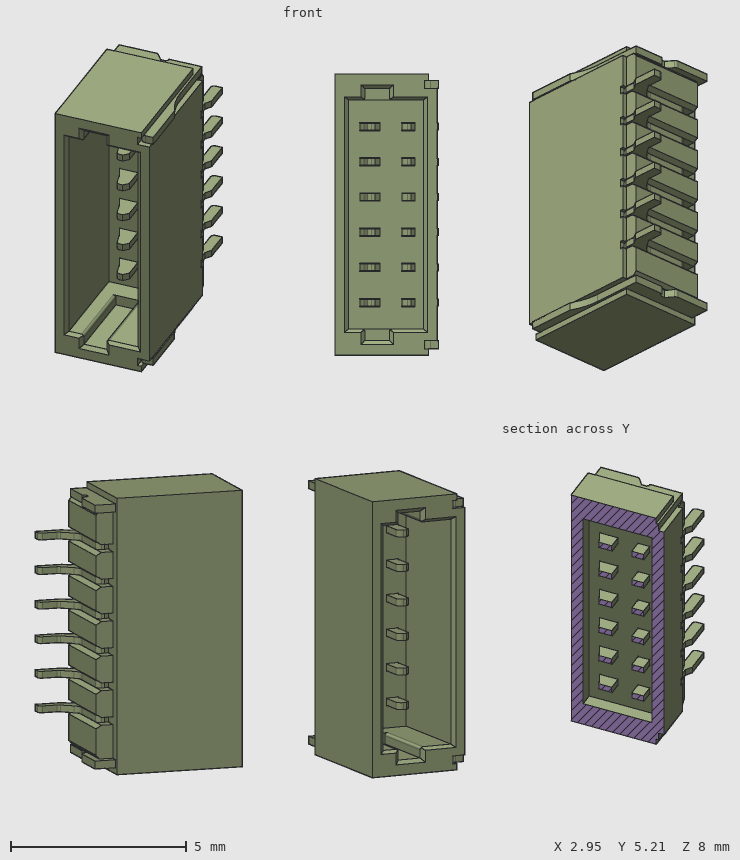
import cadquery as cq


height = 8.0
body_width = 2.66
body_depth = 3.76
flank_width = 2.91
flank_depth = 3.86
rear_left = 0.37
rear_right = 2.78
rear_end = 4.26

lead_in = 0.11
lead_in_ends = 0.09
lead_in_depth = 0.1
pocket_left = 0.38
pocket_right = 2.52
pocket_height = 6.51
pocket_depth = 3.0
key_left = 0.86
key_right = 1.55
key_height = 7.15
key_depth = 2.4
key_edge_radius = 0.08

plate_thickness = 0.23
plate_bottom = 3.58
plate_mid = plate_bottom + plate_thickness / 2
plate_front = 0.18
plate_inner = 2.54
plate_outer = 2.95
plate_corner_radius = 0.17
plate_neck = 2.74
neck_start = 2.63
neck_end = 1.73
neck_run = neck_start - neck_end
neck_drop = plate_outer - plate_neck
neck_radius = (neck_run**2 + neck_drop**2) / (2 * neck_drop)
plate_left = 0.11
plate_rear = 4.38
plate_low_rear = 4.22
notch_bottom = 4.11
notch_lip = 0.06
notch_left = 1.51
notch_right = 1.66
notch_ramp_end = 1.72
plate_rise_end = 1.31
plate_rise_radius = 0.12

contact_count = 6
pitch = 1.0
contact_thickness = 0.2
slot_height = 0.22
groove_bevel_height = 0.1
groove_bevel_depth = 0.16
end_bevel_height = 0.11
end_bevel_depth = 0.1
tip_y = 2.24
left_prong = (0.71, 1.28)
right_prong = (1.9, 2.27)
left_taper_root = 0.12
left_taper_y = 2.72
left_taper_tip = 0.24
left_tip_bevel = 0.14
left_nose_radius = 0.12
right_nose_radius = 0.17
right_tip_bevel = 0.11
bar_rear = 4.11
bar_corner_radius = 0.14
tail_end = 5.21
tail_left = 2.63
tail_tip_radius = 0.11
crank_y = 4.62
crank_radius = 0.16
bar_crank_x = 2.24
bar_crank_radius = 0.37
bar_end_taper = 0.05
bar_taper_y = 3.89
tail_bend_y = 4.42
heel_right = 2.82
heel_rear = 4.23
heel_front = 3.9
heel_bevel = 0.04
contact_heights = [pitch * (i - (contact_count - 1) / 2) for i in range(contact_count)]


def block(x0, x1, y0, y1, z_size, z_mid=0.0):
    """Box from its X and Y limits, centred in height on z_mid."""
    return (
        cq.Workplane("XY")
        .box(x1 - x0, y1 - y0, z_size, centered=(False, False, True))
        .translate((x0, y0, z_mid))
    )


def slab(outline, thickness, z_mid=0.0):
    """Extrude a closed XY outline, centred in height on z_mid."""
    return outline.extrude(thickness / 2, both=True).translate((0, 0, z_mid))


def lead_in_frustum(x0, x1, z_size, end_margin):
    """Tapered mouth that narrows from the mating face to the given opening."""
    x_mid = (x0 + x1) / 2
    return (
        cq.Workplane("XZ", origin=(x_mid, 0, 0))
        .rect(x1 - x0 + 2 * lead_in, z_size + 2 * end_margin)
        .workplane(offset=-lead_in_depth)
        .rect(x1 - x0, z_size)
        .loft(ruled=True)
    )


def make_shell():
    body = block(0, body_width, 0, body_depth, height)
    flank = block(rear_left, flank_width, 0, flank_depth, 2 * plate_bottom)
    half = plate_bottom
    rear = (
        cq.Workplane("YZ", origin=(rear_left, 0, 0))
        .moveTo(body_depth, -half)
        .lineTo(rear_end - end_bevel_depth, -half)
        .lineTo(rear_end, -half + end_bevel_height)
        .lineTo(rear_end, half - end_bevel_height)
        .lineTo(rear_end - end_bevel_depth, half)
        .lineTo(body_depth, half)
        .close()
        .extrude(rear_right - rear_left)
    )
    return body.union(flank).union(rear)


def make_pocket():
    """Pocket with key grooves; the ledge edges beside the grooves are rounded."""
    main = block(pocket_left, pocket_right, 0, pocket_depth, pocket_height)
    key = block(key_left, key_right, 0, key_depth, key_height)
    pocket = main.union(key)
    for z in (-pocket_height / 2, pocket_height / 2):
        for x in (key_left, key_right):
            ledge_edge = cq.selectors.NearestToPointSelector((x, key_depth / 2, z))
            pocket = pocket.edges("|Y").edges(ledge_edge).fillet(key_edge_radius)
    pocket = pocket.union(lead_in_frustum(pocket_left, pocket_right, pocket_height, lead_in_ends))
    return pocket.union(lead_in_frustum(key_left, key_right, key_height, lead_in))


def make_rear_groove():
    """Contact channel across the rear block, flared at its open side."""
    half = slot_height / 2
    flare = half + groove_bevel_height
    return (
        cq.Workplane("YZ", origin=(rear_left, 0, 0))
        .moveTo(body_depth, -half)
        .lineTo(rear_end - groove_bevel_depth, -half)
        .lineTo(rear_end, -flare)
        .lineTo(rear_end, flare)
        .lineTo(rear_end - groove_bevel_depth, half)
        .lineTo(body_depth, half)
        .close()
        .extrude(plate_outer - rear_left)
    )


def make_plate(z_mid):
    """L-shaped anchor: a foot along the right side and an arm across the rear."""
    outline = (
        cq.Workplane("XY")
        .moveTo(plate_inner + plate_corner_radius, plate_front)
        .lineTo(plate_outer, plate_front)
        .lineTo(plate_outer, neck_end)
        .radiusArc((plate_neck, neck_start), neck_radius)
        .lineTo(plate_neck, plate_low_rear)
        .lineTo(notch_ramp_end, plate_low_rear)
        .lineTo(notch_ramp_end, plate_low_rear - notch_lip)
        .lineTo(notch_right, notch_bottom)
        .lineTo(notch_left, notch_bottom)
        .lineTo(plate_rise_end, plate_rear)
        .lineTo(plate_left, plate_rear)
        .lineTo(plate_left, body_depth)
        .lineTo(plate_inner, body_depth)
        .lineTo(plate_inner, plate_front + plate_corner_radius)
        .radiusArc((plate_inner + plate_corner_radius, plate_front), -plate_corner_radius)
        .close()
    )
    plate = slab(outline, plate_thickness, z_mid)
    rise = cq.selectors.NearestToPointSelector((plate_rise_end, plate_rear, z_mid))
    return plate.edges("|Z").edges(rise).fillet(plate_rise_radius)


def make_left_prong(z_mid):
    """Prong whose left flank tapers in two stages to a rounded nose."""
    left, right = left_prong
    outline = (
        cq.Workplane("XY")
        .moveTo(left, body_depth)
        .lineTo(left, pocket_depth)
        .lineTo(left + left_taper_root, left_taper_y)
        .lineTo(left + left_taper_tip, tip_y)
        .lineTo(right - left_tip_bevel, tip_y)
        .lineTo(right, tip_y + left_tip_bevel)
        .lineTo(right, body_depth)
        .close()
    )
    prong = slab(outline, contact_thickness, z_mid)
    nose = cq.selectors.NearestToPointSelector((left + left_taper_tip, tip_y, z_mid))
    return prong.edges("|Z").edges(nose).fillet(left_nose_radius)


def make_right_prong(z_mid):
    """Straight prong with a rounded left shoulder and a bevelled right one."""
    left, right = right_prong
    prong = block(left, right, tip_y, body_depth, contact_thickness, z_mid)
    prong = prong.faces("<Y").edges("<X").fillet(right_nose_radius)
    return prong.faces("<Y").edges(">X").chamfer(right_tip_bevel)


def make_contact(z_mid):
    """Two round-nosed prongs on a rear bar that runs into a cranked solder tail."""
    tail = (
        cq.Workplane("XY")
        .moveTo(left_prong[0] + bar_end_taper, body_depth)
        .lineTo(left_prong[0], bar_taper_y)
        .lineTo(left_prong[0], bar_rear - bar_corner_radius)
        .radiusArc((left_prong[0] + bar_corner_radius, bar_rear), bar_corner_radius)
        .lineTo(bar_crank_x, bar_rear)
        .lineTo(tail_left, crank_y)
        .lineTo(tail_left, tail_end - tail_tip_radius)
        .radiusArc((tail_left + tail_tip_radius, tail_end), tail_tip_radius)
        .lineTo(plate_outer, tail_end)
        .lineTo(plate_outer, tail_bend_y)
        .lineTo(heel_right, heel_rear)
        .lineTo(heel_right, heel_front)
        .lineTo(heel_right - heel_bevel, heel_front - heel_bevel)
        .lineTo(rear_right, body_depth)
        .close()
    )
    contact = slab(tail, contact_thickness, z_mid)
    for x, y, radius in (
        (tail_left, crank_y, crank_radius),
        (bar_crank_x, bar_rear, bar_crank_radius),
    ):
        bend = cq.selectors.NearestToPointSelector((x, y, z_mid))
        contact = contact.edges("|Z").edges(bend).fillet(radius)
    return contact.union(make_left_prong(z_mid)).union(make_right_prong(z_mid))


result = make_shell().cut(make_pocket())

for side in (-1, 1):
    anchor_slot = block(plate_inner, plate_outer, 0, body_depth, plate_thickness, side * plate_mid)
    result = result.cut(anchor_slot).union(make_plate(side * plate_mid))

for z in contact_heights:
    result = result.cut(make_rear_groove().translate((0, 0, z)))
    for x0, x1 in (left_prong, right_prong):
        result = result.cut(block(x0, x1, pocket_depth, body_depth, slot_height, z))
    result = result.union(make_contact(z))